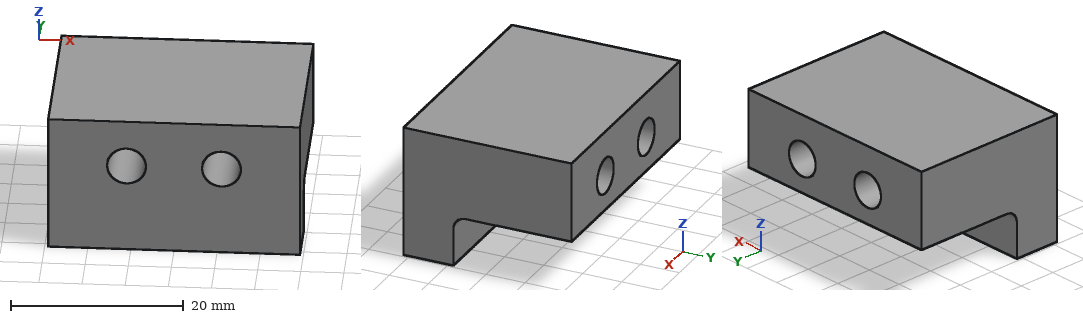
import cadquery as cq

width = 29.2
depth = 21.53
height = 16.5

body_thickness = 10.15
foot_depth = 6.4
inner_corner_radius = 1.6

hole_diameter = 4.5
hole_spacing = 11.0
hole_drop = 5.73

front = -depth / 2
top = height / 2


def make_body():
    """Block with the lower rear removed, leaving a rounded inner corner."""
    block = cq.Workplane("XY").box(width, depth, height)
    notch_depth = depth - foot_depth
    notch_height = height - body_thickness
    notch = (
        cq.Workplane("XY")
        .box(width, notch_depth, notch_height, centered=(True, False, False))
        .edges("|X and <Y and >Z")
        .fillet(inner_corner_radius)
        .translate((0, front + foot_depth, -top))
    )
    return block.cut(notch)


def make_holes():
    """Two cylinders running from the front face to the rear face."""
    hole_height = top - hole_drop
    return (
        cq.Workplane("XZ", origin=(0, front, hole_height))
        .pushPoints([(-hole_spacing / 2, 0), (hole_spacing / 2, 0)])
        .circle(hole_diameter / 2)
        .extrude(-depth)
    )


result = make_body().cut(make_holes())